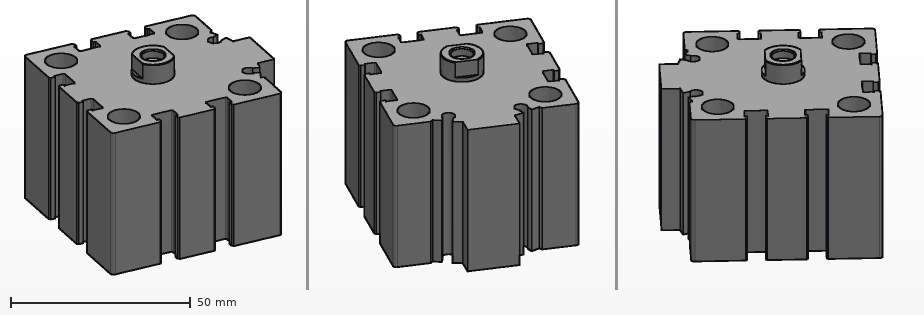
import cadquery as cq
import math

side = 53.5
half_side = side / 2
overall_length = 61.0
overall_height = 50.5
housing_height = 44.45
corner_radius = 1.0
rail_top = overall_length - half_side
rail_half_width = 7.5

shoulder_root_y = 29.05
shoulder_tip_x = 10.05
shoulder_tip_y = 28.35

lip_tip_x = 12.9
lip_tip_y = 27.0
groove_bottom_x = 15.4
groove_bottom_y = 25.9
groove_edge_x = 16.1

keyhole_x = 10.45
keyhole_y = 24.7
keyhole_diameter = 3.8
keyhole_mouth_width = 3.0
keyhole_mouth_length = 5.5
keyhole_tilt = 22.0

slot_offset = 8.5
slot_mouth_width = 5.2
slot_inner_width = 6.6
slot_lip_depth = 1.75
slot_depth = 5.0
slot_radius = 0.4
slot_face_angles = (0, 90, -90)

hole_pitch = 38.0
hole_diameter = 4.95
hole_chamfer_diameter = 6.0
counterbore_diameter = 9.0
counterbore_depth = 5.85

rod_diameter = 12.0
rod_projection = overall_height - housing_height
rod_insertion = 9.15
rod_length = rod_insertion + rod_projection
rod_edge_chamfer = 0.2
flat_distance = 10.0
flat_height = 4.75

rod_bore_diameter = 6.4
rod_bore_depth = 2.6
rod_bore_mouth_diameter = 7.2
rod_drill_diameter = 5.2
rod_drill_depth = 8.55
drill_tip_angle = 118.0


def profile_outline():
    """Closed outline of the housing without its slots, symmetric about the Y axis."""
    right_half = [
        (half_side, -half_side),
        (half_side, half_side),
        (groove_edge_x, half_side),
        (groove_bottom_x, groove_bottom_y),
        (lip_tip_x, lip_tip_y),
        (shoulder_tip_x, shoulder_tip_y),
        (rail_half_width, shoulder_root_y),
        (rail_half_width, rail_top),
    ]
    left_half = [(-x, y) for x, y in reversed(right_half)]
    return right_half + left_half


def round_corners(body):
    """Round the four outer vertical edges of the square."""
    for x in (-half_side, half_side):
        for y in (-half_side, half_side):
            corner = cq.selectors.NearestToPointSelector((x, y, housing_height / 2))
            body = body.edges("|Z").edges(corner).fillet(corner_radius)
    return body


def t_slot():
    """Cutter for one T-slot in the -Y face, centred on X = 0, with a rounded mouth and floor."""
    face_y = -half_side
    lip_y = face_y + slot_lip_depth
    half_mouth = slot_mouth_width / 2
    chamber = (
        cq.Workplane("XY")
        .box(slot_inner_width, slot_depth - slot_lip_depth, housing_height, centered=(True, False, False))
        .edges("|Z and >Y")
        .fillet(slot_radius)
        .translate((0, lip_y, 0))
    )
    mouth = (
        cq.Workplane("XY")
        .moveTo(-half_mouth - slot_radius, face_y)
        .radiusArc((-half_mouth, face_y + slot_radius), slot_radius)
        .lineTo(-half_mouth, lip_y)
        .lineTo(half_mouth, lip_y)
        .lineTo(half_mouth, face_y + slot_radius)
        .radiusArc((half_mouth + slot_radius, face_y), slot_radius)
        .close()
        .extrude(housing_height)
    )
    return chamber.union(mouth)


def keyhole_slot():
    """Cutter for the keyhole slot on the +X side of the rail."""
    mouth = (
        cq.Workplane("XY")
        .box(keyhole_mouth_width, keyhole_mouth_length, housing_height, centered=(True, False, False))
        .rotate((0, 0, 0), (0, 0, 1), -keyhole_tilt)
    )
    channel = cq.Workplane("XY").circle(keyhole_diameter / 2).extrude(housing_height)
    return channel.union(mouth).translate((keyhole_x, keyhole_y, 0))


def mounting_hole():
    """Cutter for one counterbored through hole with a chamfer at the counterbore floor, on the Z axis."""
    hole_radius = hole_diameter / 2
    chamfer_radius = hole_chamfer_diameter / 2
    floor_z = housing_height - counterbore_depth
    return (
        cq.Workplane("XZ")
        .moveTo(0, 0)
        .lineTo(hole_radius, 0)
        .lineTo(hole_radius, floor_z - (chamfer_radius - hole_radius))
        .lineTo(chamfer_radius, floor_z)
        .lineTo(counterbore_diameter / 2, floor_z)
        .lineTo(counterbore_diameter / 2, housing_height)
        .lineTo(0, housing_height)
        .close()
        .revolve(360, (0, 0, 0), (0, 1, 0))
    )


def make_housing():
    body = cq.Workplane("XY").polyline(profile_outline()).close().extrude(housing_height)
    body = round_corners(body)

    for angle in slot_face_angles:
        for x in (-slot_offset, slot_offset):
            slot = t_slot().translate((x, 0, 0))
            body = body.cut(slot.rotate((0, 0, 0), (0, 0, 1), angle))

    body = body.cut(keyhole_slot()).cut(keyhole_slot().mirror("YZ"))

    for x in (-hole_pitch / 2, hole_pitch / 2):
        for y in (-hole_pitch / 2, hole_pitch / 2):
            body = body.cut(mounting_hole().translate((x, y, 0)))

    rod_seat = (
        cq.Workplane("XY", origin=(0, 0, housing_height - rod_insertion))
        .circle(rod_diameter / 2)
        .extrude(rod_insertion)
    )
    return body.cut(rod_seat)


def rod_end_hole():
    """Cutter for the stepped blind hole with a conical bottom; its mouth is at Z = 0."""
    mouth_radius = rod_bore_mouth_diameter / 2
    bore_radius = rod_bore_diameter / 2
    drill_radius = rod_drill_diameter / 2
    tip_depth = drill_radius / math.tan(math.radians(drill_tip_angle / 2))
    return (
        cq.Workplane("XZ")
        .moveTo(0, 0)
        .lineTo(mouth_radius, 0)
        .lineTo(bore_radius, bore_radius - mouth_radius)
        .lineTo(bore_radius, -rod_bore_depth)
        .lineTo(drill_radius, -rod_bore_depth - (bore_radius - drill_radius))
        .lineTo(drill_radius, -rod_drill_depth)
        .lineTo(0, -rod_drill_depth - tip_depth)
        .close()
        .revolve(360, (0, 0, 0), (0, 1, 0))
    )


def make_rod():
    body = (
        cq.Workplane("XY")
        .circle(rod_diameter / 2)
        .extrude(rod_length)
        .faces(">Z")
        .chamfer(rod_edge_chamfer)
    )
    for direction in (-1, 1):
        flat_cutter = (
            cq.Workplane("XY")
            .box(rod_diameter, rod_diameter, flat_height)
            .translate((0, direction * (flat_distance + rod_diameter) / 2, rod_length - flat_height / 2))
        )
        body = body.cut(flat_cutter)
    body = body.cut(rod_end_hole().translate((0, 0, rod_length)))
    return body.translate((0, 0, housing_height - rod_insertion))


housing = make_housing()
rod = make_rod()

result = cq.Compound.makeCompound([housing.val(), rod.val()])